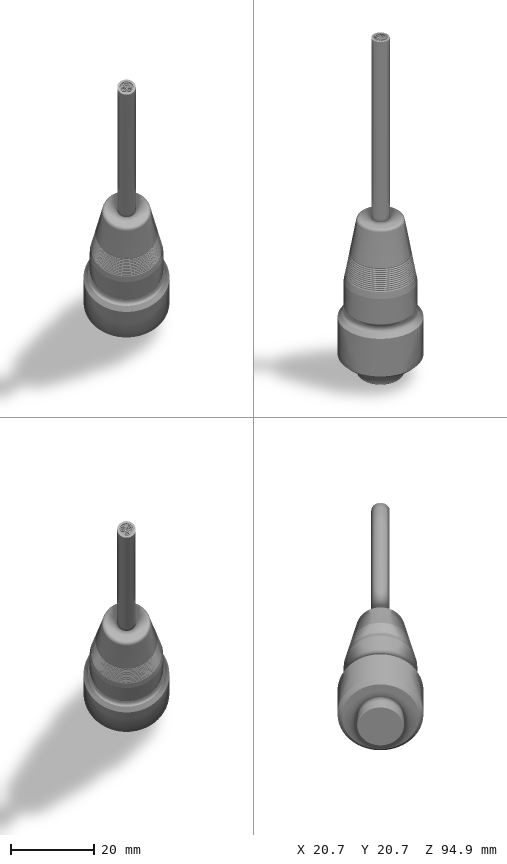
import cadquery as cq
import math

total_length = 94.9
cable_diameter = 4.5
sheath_bore = 3.3

nose_diameter = 11.3
nose_chamfer = 0.2
nut_diameter = 20.7
nut_bottom = 4.3
nut_top = 17.0
nut_chamfer = 1.0

neck_diameter = 12.8
grip_diameter = 17.7
grip_bottom = 18.7
grip_top = 26.3
grip_fillet = 0.6

boot_top = 43.9
boot_fillet = 0.8
boot_top_diameter = 11.5

knurl_bottom = 28.1
knurl_top = 34.2
groove_count = 12
groove_depth = 0.12

core_count = 3
core_diameter = 1.4
core_circle_radius = 0.9
first_core_angle = 30
insulation_bore = 1.1
strand_diameter = 0.12
strand_spacing = 0.2
strand_rings = 2
end_recess = 0.5


def cylinder(diameter, bottom, top):
    return cq.Workplane("XY").workplane(offset=bottom).circle(diameter / 2).extrude(top - bottom)


def boot_radius(z):
    """Radius of the tapered boot at height z."""
    share = (z - grip_top) / (boot_top - grip_top)
    return (grip_diameter + share * (boot_top_diameter - grip_diameter)) / 2


def boot_section(bottom, top):
    """A slice of the tapered boot."""
    outline = [(0, bottom), (boot_radius(bottom), bottom), (boot_radius(top), top), (0, top)]
    return cq.Workplane("XZ").polyline(outline).close().revolve(360, (0, 0), (0, 1))


def knurled_band():
    """Boot slice with ring grooves of V section, cut square to the taper."""
    pitch = (knurl_top - knurl_bottom) / groove_count
    taper = math.atan2(boot_radius(knurl_bottom) - boot_radius(knurl_top), knurl_top - knurl_bottom)
    outline = [(0, knurl_bottom), (boot_radius(knurl_bottom), knurl_bottom)]
    for groove in range(groove_count):
        middle = knurl_bottom + (groove + 0.5) * pitch
        root_radius = boot_radius(middle) - groove_depth * math.cos(taper)
        root_height = middle - groove_depth * math.sin(taper)
        ridge_height = knurl_bottom + (groove + 1) * pitch
        outline.append((root_radius, root_height))
        outline.append((boot_radius(ridge_height), ridge_height))
    outline.append((0, knurl_top))
    return cq.Workplane("XZ").polyline(outline).close().revolve(360, (0, 0), (0, 1))


def nut():
    blank = cylinder(nut_diameter, nut_bottom, nut_top)
    return blank.edges("%CIRCLE").chamfer(nut_chamfer)


def strand_centres():
    """Hexagonal pattern of strands around a core's axis."""
    centres = []
    for row in range(-strand_rings, strand_rings + 1):
        in_row = 2 * strand_rings + 1 - abs(row)
        for place in range(in_row):
            x = (place - (in_row - 1) / 2) * strand_spacing
            centres.append((x, row * strand_spacing * math.sqrt(3) / 2))
    return centres


def core_end():
    """Insulation ring and bare strands of one core, standing in the recessed cable end."""
    floor = cq.Workplane("XY").workplane(offset=total_length - end_recess)
    ring = floor.circle(core_diameter / 2).circle(insulation_bore / 2).extrude(end_recess)
    strands = floor.pushPoints(strand_centres()).circle(strand_diameter / 2).extrude(end_recess)
    return ring.vals() + strands.vals()


def cable():
    body = cylinder(cable_diameter, boot_top, total_length)
    body = body.cut(cylinder(sheath_bore, total_length - end_recess, total_length))
    cores = []
    for index in range(core_count):
        angle = math.radians(first_core_angle + index * 360 / core_count)
        offset = cq.Vector(math.cos(angle), math.sin(angle)) * core_circle_radius
        cores += [piece.translate(offset) for piece in core_end()]
    return cq.Workplane(obj=body.val().fuse(*cores))


nose = cylinder(nose_diameter, 0, nut_bottom).faces("<Z").chamfer(nose_chamfer)
neck = cylinder(neck_diameter, nut_top, grip_bottom)
grip = cylinder(grip_diameter, grip_bottom, grip_top).faces("<Z").edges().fillet(grip_fillet)
upper_boot = boot_section(knurl_top, boot_top).faces(">Z").edges().fillet(boot_fillet)

result = nose.union(nut()).union(neck).union(grip)
result = result.union(boot_section(grip_top, knurl_bottom)).union(knurled_band())
result = result.union(upper_boot).union(cable())